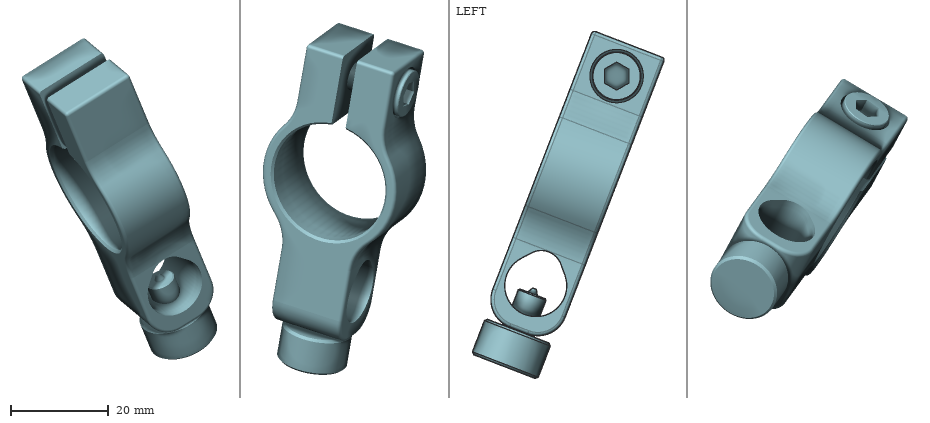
import cadquery as cq
import math

TILT = 21.1

RING_R = 15.0
BORE_R = 12.5
BORE_CHAMFER = 0.5
DEPTH = 15.9
JAW_WIDTH = 20.0
JAW_TOP = 27.95
GAP = 3.2
FOOT_WIDTH = 15.8
FOOT_BOTTOM = -34.85
FOOT_CORNER_R = 6.0
BLEND_R = 10.0
EDGE_R = 0.7

WINDOW_R = 6.3
WINDOW_Z = -25.0
WINDOW_TOP_R = 4.3
WINDOW_TOP_Z = -21.9

SCREW_Z = 21.0
SHANK_R = 3.0
SHANK_END_WALL = 3.0
HEAD_R = 5.0
HEAD_HEIGHT = 6.0
HEAD_PROUD = 1.0
HEAD_EDGE = 0.15
HEAD_POCKET_R = 5.5
HEX_FLATS = 5.0
HEX_DEPTH = 3.0
HEX_TURN = -TILT

KNOB_R = 7.25
KNOB_BOTTOM = -42.8
KNOB_SEAT = -39.8
KNOB_CHAMFER = 0.5
COLLAR_R = 5.0
SHOULDER_R = 3.55
SHOULDER_HEIGHT = 0.15
SLEEVE_R = 3.05
SLEEVE_TOP = -26.8
SLEEVE_EDGE = 0.3
TIP_R = 1.1
TIP_DEPTH = 3.0
TIP_RISE = 1.15
TIP_END_R = 0.4

HEAD_OUTER_X = -JAW_WIDTH / 2 - HEAD_PROUD
HEAD_SEAT_X = HEAD_OUTER_X + HEAD_HEIGHT
SHANK_END_X = JAW_WIDTH / 2 - SHANK_END_WALL
KNOB_TOP = FOOT_BOTTOM - SHOULDER_HEIGHT


def cylinder_x(radius, start_x, end_x, z):
    return cq.Workplane("YZ", origin=(start_x, 0, z)).circle(radius).extrude(end_x - start_x)


def cylinder_z(radius, bottom, top):
    return cq.Workplane("XY", origin=(0, 0, bottom)).circle(radius).extrude(top - bottom)


def arm(half_width, end_z):
    """Straight-sided arm from the ring out to end_z, flaring into the ring through concave arcs."""
    direction = math.copysign(1, end_z)
    blend_x = half_width + BLEND_R
    blend_angle = math.acos(blend_x / (RING_R + BLEND_R))
    side_z = direction * (RING_R + BLEND_R) * math.sin(blend_angle)
    ring_x = RING_R * math.cos(blend_angle)
    ring_z = direction * RING_R * math.sin(blend_angle)
    middle_x = blend_x - BLEND_R * math.cos(blend_angle / 2)
    middle_z = side_z - direction * BLEND_R * math.sin(blend_angle / 2)
    return (
        cq.Workplane("XZ", origin=(0, DEPTH / 2, 0))
        .moveTo(-ring_x, ring_z)
        .threePointArc((-middle_x, middle_z), (-half_width, side_z))
        .lineTo(-half_width, end_z)
        .lineTo(half_width, end_z)
        .lineTo(half_width, side_z)
        .threePointArc((middle_x, middle_z), (ring_x, ring_z))
        .close()
        .extrude(DEPTH)
    )


def window_cutter():
    """Egg-shaped cutter along X: two arcs joined by their common tangents."""
    rise = WINDOW_TOP_Z - WINDOW_Z
    normal_z = (WINDOW_R - WINDOW_TOP_R) / rise
    normal_y = math.sqrt(1 - normal_z**2)
    low_y = WINDOW_R * normal_y
    low_z = WINDOW_Z + WINDOW_R * normal_z
    high_y = WINDOW_TOP_R * normal_y
    high_z = WINDOW_TOP_Z + WINDOW_TOP_R * normal_z
    return (
        cq.Workplane("YZ")
        .moveTo(-low_y, low_z)
        .threePointArc((0, WINDOW_Z - WINDOW_R), (low_y, low_z))
        .lineTo(high_y, high_z)
        .threePointArc((0, WINDOW_TOP_Z + WINDOW_TOP_R), (-high_y, high_z))
        .close()
        .extrude(FOOT_WIDTH, both=True)
    )


def make_clamp_blank():
    """Ring, foot and jaws in one piece, with the outer edges rounded."""
    ring = cq.Workplane("XZ", origin=(0, DEPTH / 2, 0)).circle(RING_R).extrude(DEPTH)
    foot = arm(FOOT_WIDTH / 2, FOOT_BOTTOM)
    foot = foot.faces("<Z").edges("|X").fillet(FOOT_CORNER_R)
    blank = ring.union(foot).union(arm(JAW_WIDTH / 2, JAW_TOP))
    outline_edges = blank.faces("<Y or >Y").edges("not |X").vals()
    top_edges = blank.faces(">Z").edges().vals()
    return blank.newObject(outline_edges + top_edges).fillet(EDGE_R)


def bore_cutter():
    """Bore along Y, flared at both mouths."""
    mouth_r = BORE_R + BORE_CHAMFER
    mouth_y = DEPTH / 2
    waist_y = mouth_y - BORE_CHAMFER
    half_profile = [
        (0, -mouth_y),
        (mouth_r, -mouth_y),
        (BORE_R, -waist_y),
        (BORE_R, waist_y),
        (mouth_r, mouth_y),
        (0, mouth_y),
    ]
    return cq.Workplane("XY").polyline(half_profile).close().revolve(360, (0, 0, 0), (0, 1, 0))


def make_clamp():
    """Clamp with its bore, jaw gap, blind screw seat, window and sleeve hole."""
    slot = cq.Workplane("XY").box(GAP, 2 * DEPTH, JAW_TOP, centered=(True, True, False))
    screw_hole = cylinder_x(SHANK_R, -JAW_WIDTH, SHANK_END_X, SCREW_Z)
    head_pocket = cylinder_x(HEAD_POCKET_R, -JAW_WIDTH, HEAD_SEAT_X, SCREW_Z)
    sleeve_hole = cylinder_z(SLEEVE_R, 2 * FOOT_BOTTOM, WINDOW_Z)
    clamp = make_clamp_blank()
    for cutter in (bore_cutter(), slot, screw_hole, head_pocket, window_cutter(), sleeve_hole):
        clamp = clamp.cut(cutter)
    return clamp


def make_clamp_screw():
    """Socket-head screw along X, its head standing slightly proud of the jaw."""
    head = cylinder_x(HEAD_R, HEAD_OUTER_X, HEAD_SEAT_X, SCREW_Z).faces("<X").chamfer(HEAD_EDGE)
    screw = head.union(cylinder_x(SHANK_R, HEAD_SEAT_X, SHANK_END_X, SCREW_Z))
    hexagon = (
        cq.Workplane("YZ", origin=(HEAD_OUTER_X, 0, SCREW_Z))
        .transformed(rotate=(0, 0, HEX_TURN))
        .polygon(6, HEX_FLATS, circumscribed=True)
        .extrude(HEX_DEPTH)
    )
    return screw.cut(hexagon)


def make_knob():
    """Round knob with a blind seat for the collar."""
    knob = cylinder_z(KNOB_R, KNOB_BOTTOM, KNOB_TOP).faces("<Z or >Z").chamfer(KNOB_CHAMFER)
    return knob.cut(cylinder_z(COLLAR_R, KNOB_SEAT, KNOB_TOP))


def make_collar():
    """Bush pressed flush into the knob, with a narrow shoulder that meets the foot."""
    collar = cylinder_z(COLLAR_R, KNOB_SEAT, KNOB_TOP)
    collar = collar.union(cylinder_z(SHOULDER_R, KNOB_TOP, FOOT_BOTTOM))
    return collar.cut(cylinder_z(SLEEVE_R, KNOB_SEAT, FOOT_BOTTOM))


def make_sleeve():
    """Plunger sleeve from the knob seat, through the foot, into the window."""
    sleeve = cylinder_z(SLEEVE_R, KNOB_SEAT, SLEEVE_TOP).faces(">Z").chamfer(SLEEVE_EDGE)
    return sleeve.cut(cylinder_z(TIP_R, SLEEVE_TOP - TIP_DEPTH, SLEEVE_TOP))


def make_tip():
    """Pin seated in the sleeve, with a blunt cone standing proud of it."""
    pin = cylinder_z(TIP_R, SLEEVE_TOP - TIP_DEPTH, SLEEVE_TOP)
    cone = cq.Solid.makeCone(TIP_R, TIP_END_R, TIP_RISE, pnt=(0, 0, SLEEVE_TOP))
    return pin.union(cq.Workplane(cone))


clamp = make_clamp()
clamp_screw = make_clamp_screw()
knob = make_knob()
collar = make_collar()
sleeve = make_sleeve()
tip = make_tip()

upright_bodies = [clamp, clamp_screw, knob, collar, sleeve, tip]
result = cq.Compound.makeCompound(
    [body.rotate((0, 0, 0), (1, 0, 0), TILT).val() for body in upright_bodies]
)